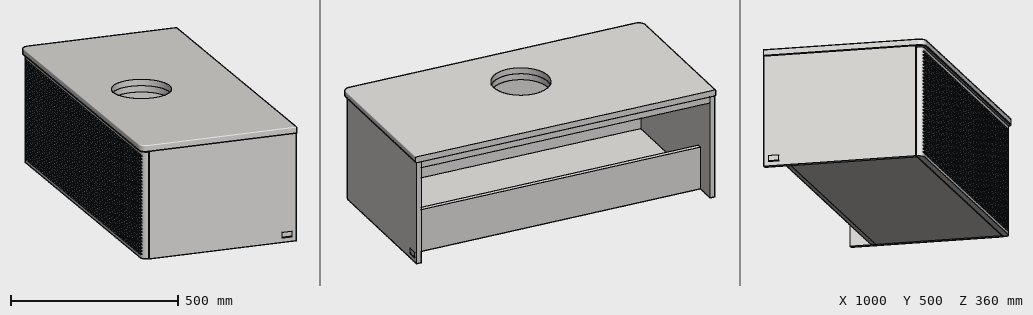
import cadquery as cq
width = 1000.0
depth = 500.0
height = 360.0

top_thickness = 20.0
top_corner_radius = 23.0
top_edge_radius = 3.0
bottom_edge_bevel = 2.0
drain_diameter = 180.0
drain_y = 195.0

side_overhang = 3.0
panel_thickness = 16.0
body_height = height - top_thickness
body_width = width - 2 * side_overhang
inner_width = body_width - 2 * panel_thickness
carcass_front_y = 29.0
support_thickness = 20.0

drawer_back_y = 420.0
drawer_back_thickness = 14.0
drawer_back_height = 141.0

front_inset = 6.0
front_y = 7.0
front_width = width - 2 * front_inset
front_thickness = 20.0
front_top_gap = 3.0
front_height = body_height - front_top_gap
front_corner_diameter = 35.0
groove_radius = 2.5
groove_depth = 2.0
groove_pitch = 10.0
groove_count = 32
first_groove_z = (front_height - (groove_count - 1) * groove_pitch) / 2

pocket_length = 32.0
pocket_height = 18.0
pocket_depth = 5.0
pocket_back_margin = 14.0
pocket_base_z = 14.0
cover_gap = 2.0


def block(x_size, y_size, z_size, x_mid, y_min, z_min):
    """A box centred on x_mid that starts at y_min and z_min."""
    box = cq.Workplane("XY").box(x_size, y_size, z_size, centered=(True, False, False))
    return box.translate((x_mid, y_min, z_min))


def drain_cutter():
    cylinder = cq.Workplane("XY").circle(drain_diameter / 2).extrude(height)
    return cylinder.translate((0, drain_y, 0))


def make_countertop():
    slab = block(width, depth, top_thickness, 0, 0, body_height)
    slab = slab.edges("|Z and <Y").fillet(top_corner_radius)
    slab = slab.faces(">Z").edges("not >Y").fillet(top_edge_radius)
    slab = slab.faces("<Z").edges("not >Y").chamfer(bottom_edge_bevel)
    return slab.cut(drain_cutter())


def make_support_panel():
    """Panel between the sides that carries the countertop."""
    panel_depth = depth - carcass_front_y
    z_min = body_height - support_thickness
    panel = block(inner_width, panel_depth, support_thickness, 0, carcass_front_y, z_min)
    return panel.cut(drain_cutter())


def pocket_block(side, gap_below):
    """Block that fills the hanger pocket of one side panel above a gap."""
    return block(
        pocket_depth,
        pocket_length,
        pocket_height - gap_below,
        side * (body_width - pocket_depth) / 2,
        depth - pocket_back_margin - pocket_length,
        pocket_base_z + gap_below,
    )


def make_side_panel(side):
    x_mid = side * (body_width - panel_thickness) / 2
    panel = block(panel_thickness, depth - carcass_front_y, body_height, x_mid, carcass_front_y, 0)
    return panel.cut(pocket_block(side, 0))


def make_hanger_cover(side):
    return pocket_block(side, cover_gap)


def make_drawer_floor():
    floor_depth = drawer_back_y - carcass_front_y
    return block(inner_width, floor_depth, panel_thickness, 0, carcass_front_y, 0)


def make_drawer_back():
    return block(inner_width, drawer_back_thickness, drawer_back_height, 0, drawer_back_y, 0)


def make_drawer_front():
    front = block(front_width, front_thickness, front_height, 0, front_y, 0)
    front = front.edges("|Z and <Y").fillet(front_corner_diameter / 2)
    groove_axis_y = front_y + groove_depth - groove_radius
    for index in range(groove_count):
        groove_z = first_groove_z + index * groove_pitch
        groove = cq.Workplane("YZ").center(groove_axis_y, groove_z).circle(groove_radius).extrude(front_width)
        front = front.cut(groove.translate((-front_width / 2, 0, 0)))
    return front


countertop = make_countertop()
support_panel = make_support_panel()
side_panels = [make_side_panel(side) for side in (-1, 1)]
hanger_covers = [make_hanger_cover(side) for side in (-1, 1)]
drawer_floor = make_drawer_floor()
drawer_back = make_drawer_back()
drawer_front = make_drawer_front()

drawer = [drawer_floor, drawer_back, drawer_front]
bodies = [countertop, support_panel, *side_panels, *hanger_covers, *drawer]
result = cq.Compound.makeCompound([body.val() for body in bodies])